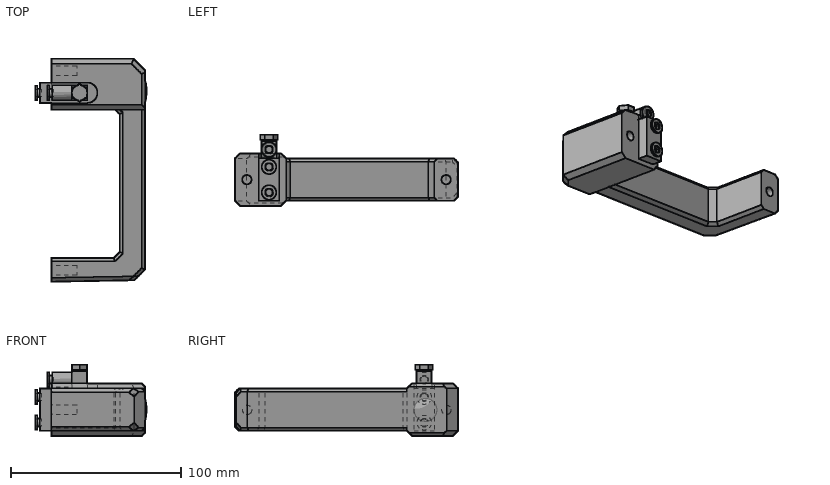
import cadquery as cq
import math


BODY_REACH = 55.0
BODY_WIDTH = 30.0
BODY_HEIGHT = 31.0
BODY_CORNER = 6.7
BODY_CHAMFER = 3.0
END_TRIM = 1.0

TOTAL_LENGTH = 131.0
BAR_THICKNESS = 15.0
LEG_WIDTH = 14.0
LEG_DRAFT = math.radians(1.0)
OUTER_CORNER = 6.4
INNER_CORNER = 3.5
INNER_TOP = -29.0
BAR_ROOT = -15.0
LEG_CHAMFER = 2.4
BAR_CHAMFER = 2.0
FACET_DROP = 4.8
HANDLE_HEIGHT = BODY_HEIGHT - 2 * BODY_CHAMFER

EDGE_MARGIN = 0.1

MOUNT_HOLE_DIAMETER = 5.5
MOUNT_HOLE_DEPTH = 15.0
MOUNT_HOLE_INSET = 7.0

FITTING_Y = -20.0
BLOCK_WIDTH = 12.0
BLOCK_REACH = 6.7
SLOT_FLOOR = HANDLE_HEIGHT / 2
SLOT_CENTRE_X = 21.0

COLLAR_DIAMETER = 8.5
COLLAR_THICKNESS = 1.2
COLLAR_GAP = 1.6
NECK_DIAMETER = 5.0
TUBE_HOLE_DIAMETER = 4.2
TUBE_HOLE_DEPTH = 3.5
BLOCK_COLLAR_SPACING = 15.0

ELBOW_SIDE = 9.0
ELBOW_X = 16.5
ELBOW_TOP = 22.5
ELBOW_AXIS_Z = 17.7
BARREL_DIAMETER = 8.8
BARREL_START_X = 0.4
ELBOW_COLLAR_DIAMETER = 8.8
ELBOW_COLLAR_THICKNESS = 1.3
ELBOW_COLLAR_ROUND = 0.6
HEX_FLATS = 9.0
HEX_HEIGHT = 3.1
HEX_TOP = 26.5

BUTTON_DIAMETER = 13.4
BUTTON_RISE = 1.0
BUTTON_Y = -19.3


def x_cylinder(diameter, x_start, length, y, z):
    """Cylinder along +X starting at x_start."""
    return cq.Workplane("YZ", origin=(x_start, y, z)).circle(diameter / 2).extrude(length)


def rim_edges(solid, wanted):
    """Edges of the top and bottom faces whose centre satisfies wanted(centre)."""
    edges = [e for e in solid.faces("|Z").edges().vals() if wanted(e.Center())]
    return solid.newObject(edges)


def make_body():
    rough_reach = BODY_REACH + END_TRIM
    diagonal = BODY_CORNER + END_TRIM
    body = (
        cq.Workplane("XY", origin=(0, 0, -BODY_HEIGHT / 2))
        .moveTo(0, 0)
        .lineTo(rough_reach - diagonal, 0)
        .lineTo(rough_reach, -diagonal)
        .lineTo(rough_reach, -BODY_WIDTH)
        .lineTo(0, -BODY_WIDTH)
        .close()
        .extrude(BODY_HEIGHT)
    )
    body = rim_edges(body, lambda centre: centre.x > EDGE_MARGIN).chamfer(BODY_CHAMFER)
    kept = cq.Workplane("XY").box(BODY_REACH, BODY_WIDTH, BODY_HEIGHT)
    return body.intersect(kept.translate((BODY_REACH / 2, -BODY_WIDTH / 2, 0)))


def make_corner_facet(corner_x, corner_y):
    """Wedge that bevels the upper outer leg corner, square to the bisector of its two walls."""
    leg_normal = LEG_DRAFT - math.pi / 2
    diagonal_normal = -math.pi / 4
    bisector = (leg_normal + diagonal_normal) / 2
    half_turn = (diagonal_normal - leg_normal) / 2
    run = (LEG_CHAMFER + BAR_CHAMFER) / (2 * math.cos(half_turn))
    across = cq.Plane(
        origin=(corner_x, corner_y, HANDLE_HEIGHT / 2),
        xDir=(math.cos(bisector), math.sin(bisector), 0),
        normal=(math.sin(bisector), -math.cos(bisector), 0),
    )
    profile = cq.Workplane(across).polyline([(0, 0), (-run, 0), (0, -FACET_DROP)]).close()
    return profile.extrude(OUTER_CORNER, both=True)


def make_handle():
    inner_x = BODY_REACH - BAR_THICKNESS
    inner_bottom = LEG_WIDTH - TOTAL_LENGTH
    corner_x = BODY_REACH - OUTER_CORNER
    corner_y = -TOTAL_LENGTH + corner_x * math.tan(LEG_DRAFT)
    handle = (
        cq.Workplane("XY", origin=(0, 0, -HANDLE_HEIGHT / 2))
        .moveTo(0, -TOTAL_LENGTH)
        .lineTo(corner_x, corner_y)
        .lineTo(BODY_REACH, corner_y + OUTER_CORNER)
        .lineTo(BODY_REACH, BAR_ROOT)
        .lineTo(inner_x - INNER_CORNER, BAR_ROOT)
        .lineTo(inner_x - INNER_CORNER, INNER_TOP)
        .lineTo(inner_x, INNER_TOP - INNER_CORNER)
        .lineTo(inner_x, inner_bottom + INNER_CORNER)
        .lineTo(inner_x - INNER_CORNER, inner_bottom)
        .lineTo(0, inner_bottom)
        .close()
        .extrude(HANDLE_HEIGHT)
    )

    def on_leg_outside(centre):
        return EDGE_MARGIN < centre.x < corner_x and centre.y < LEG_CHAMFER - TOTAL_LENGTH

    def on_other_rim(centre):
        inside_x = EDGE_MARGIN < centre.x < inner_x + EDGE_MARGIN
        around_opening = inside_x and inner_bottom - EDGE_MARGIN < centre.y < INNER_TOP - EDGE_MARGIN
        return around_opening or centre.x > corner_x + EDGE_MARGIN

    handle = rim_edges(handle, on_leg_outside).chamfer(LEG_CHAMFER)
    handle = rim_edges(handle, on_other_rim).chamfer(BAR_CHAMFER)
    facet = make_corner_facet(corner_x, corner_y)
    return handle.cut(facet).cut(facet.mirror("XY"))


def make_slot():
    depth = BODY_HEIGHT / 2 - SLOT_FLOOR
    floor = cq.Workplane("XY", origin=(0, FITTING_Y, SLOT_FLOOR))
    channel = floor.center(SLOT_CENTRE_X / 2, 0).rect(SLOT_CENTRE_X, BLOCK_WIDTH).extrude(depth)
    round_end = floor.center(SLOT_CENTRE_X, 0).circle(BLOCK_WIDTH / 2).extrude(depth)
    return channel.union(round_end)


def make_block():
    block = cq.Workplane("XY").box(BLOCK_REACH, BLOCK_WIDTH, HANDLE_HEIGHT)
    return block.translate((-BLOCK_REACH / 2, FITTING_Y, 0))


def make_collar(seat_x, diameter, thickness, z, rounding=0.0):
    """Release collar on a neck that rises from the seat at seat_x."""
    length = thickness + COLLAR_GAP
    tip_x = seat_x - length
    collar = x_cylinder(diameter, tip_x, thickness, FITTING_Y, z)
    if rounding > 0:
        collar = collar.edges().fillet(rounding)
    neck = x_cylinder(NECK_DIAMETER, tip_x, length, FITTING_Y, z)
    return collar.union(neck)


def make_tube_hole(seat_x, thickness, z):
    """Blind tube hole entering from the tip of a collar."""
    tip_x = seat_x - thickness - COLLAR_GAP
    return x_cylinder(TUBE_HOLE_DIAMETER, tip_x, TUBE_HOLE_DEPTH, FITTING_Y, z)


def make_elbow():
    base = cq.Workplane("XY", origin=(ELBOW_X, FITTING_Y, SLOT_FLOOR))
    elbow = base.rect(ELBOW_SIDE, ELBOW_SIDE).extrude(ELBOW_TOP - SLOT_FLOOR)
    hex_base = HEX_TOP - HEX_HEIGHT
    washer = cq.Workplane("XY", origin=(ELBOW_X, FITTING_Y, ELBOW_TOP))
    washer = washer.circle(ELBOW_SIDE / 2).extrude(hex_base - ELBOW_TOP)
    hex_corners = HEX_FLATS / math.cos(math.pi / 6)
    hex_head = cq.Workplane("XY").polygon(6, hex_corners).extrude(HEX_HEIGHT)
    hex_head = hex_head.rotate((0, 0, 0), (0, 0, 1), 90).translate((ELBOW_X, FITTING_Y, hex_base))
    barrel = x_cylinder(BARREL_DIAMETER, BARREL_START_X, ELBOW_X - BARREL_START_X, FITTING_Y, ELBOW_AXIS_Z)
    collar = make_collar(
        BARREL_START_X, ELBOW_COLLAR_DIAMETER, ELBOW_COLLAR_THICKNESS, ELBOW_AXIS_Z, ELBOW_COLLAR_ROUND
    )
    elbow = elbow.union(washer).union(hex_head).union(barrel).union(collar)
    return elbow.cut(make_tube_hole(BARREL_START_X, ELBOW_COLLAR_THICKNESS, ELBOW_AXIS_Z))


def make_button():
    radius = BUTTON_DIAMETER / 2
    sphere_radius = (radius**2 + BUTTON_RISE**2) / (2 * BUTTON_RISE)
    half_angle = math.asin(radius / sphere_radius) / 2
    arc_mid_x = BUTTON_RISE - sphere_radius * (1 - math.cos(half_angle))
    arc_mid_r = sphere_radius * math.sin(half_angle)
    dome = (
        cq.Workplane("XY")
        .moveTo(0, 0)
        .lineTo(0, radius)
        .threePointArc((arc_mid_x, arc_mid_r), (BUTTON_RISE, 0))
        .close()
        .revolve(360, (0, 0, 0), (1, 0, 0))
    )
    return dome.translate((BODY_REACH, BUTTON_Y, 0))


result = make_body().union(make_handle()).cut(make_slot())
result = result.union(make_block()).union(make_elbow()).union(make_button())

for collar_z in (-BLOCK_COLLAR_SPACING / 2, BLOCK_COLLAR_SPACING / 2):
    result = result.union(make_collar(-BLOCK_REACH, COLLAR_DIAMETER, COLLAR_THICKNESS, collar_z))
    result = result.cut(make_tube_hole(-BLOCK_REACH, COLLAR_THICKNESS, collar_z))

for hole_y in (-MOUNT_HOLE_INSET, MOUNT_HOLE_INSET - TOTAL_LENGTH):
    result = result.cut(x_cylinder(MOUNT_HOLE_DIAMETER, 0, MOUNT_HOLE_DEPTH, hole_y, 0))